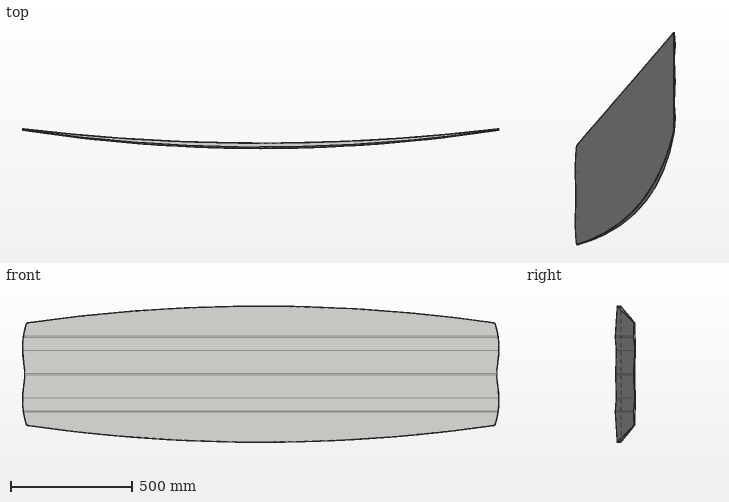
import cadquery as cq

LENGTH = 1968.51
DEPTH = 83.23
WIDTH = 563.69

TIP_LOBE_Z = 105.0
NOTCH_DEPTH = 9.0
CORNER_X = 967.0
CORNER_Z = 212.0
CORNER_RADIUS = 10.0

RIDGE_Z = 154.0
VALLEY_Z = 98.0
CHANNEL_DEPTH = 4.3
RAIL_SETBACK = 7.5
RIDGE_FLAT = 6.0

MIDDLE_THICKNESS = 24.0
TIP_THICKNESS = 7.0
BACK_BEVEL = 2.0

half_length = LENGTH / 2
half_width = WIDTH / 2


def arc_radius(half_chord, rise):
    """Radius of an arc from its half chord and its rise."""
    return (half_chord**2 + rise**2) / (2 * rise)


front_radius = arc_radius(half_length, DEPTH - TIP_THICKNESS)
back_radius = arc_radius(half_length - BACK_BEVEL, DEPTH - MIDDLE_THICKNESS)


def outline_prism():
    """Bowed rails and twin-lobed ends, extruded through the depth."""
    notch_x = half_length - NOTCH_DEPTH
    blend_x = half_length - NOTCH_DEPTH / 2
    blend_z = TIP_LOBE_Z / 2

    prism = (
        cq.Workplane("XZ")
        .moveTo(-CORNER_X, CORNER_Z)
        .threePointArc((0, half_width), (CORNER_X, CORNER_Z))
        .threePointArc((half_length, TIP_LOBE_Z), (blend_x, blend_z))
        .threePointArc((notch_x, 0), (blend_x, -blend_z))
        .threePointArc((half_length, -TIP_LOBE_Z), (CORNER_X, -CORNER_Z))
        .threePointArc((0, -half_width), (-CORNER_X, -CORNER_Z))
        .threePointArc((-half_length, -TIP_LOBE_Z), (-blend_x, -blend_z))
        .threePointArc((-notch_x, 0), (-blend_x, blend_z))
        .threePointArc((-half_length, TIP_LOBE_Z), (-CORNER_X, CORNER_Z))
        .close()
        .extrude(-2 * DEPTH)
    )
    for x in (-CORNER_X, CORNER_X):
        for z in (-CORNER_Z, CORNER_Z):
            corner = cq.selectors.NearestToPointSelector((x, DEPTH, z))
            prism = prism.edges("|Y").edges(corner).fillet(CORNER_RADIUS)
    return prism


def front_body():
    """Ridged front profile turned about the axis of the front arc."""
    half_flat = RIDGE_FLAT / 2
    upper = [
        (0, half_flat),
        (CHANNEL_DEPTH, VALLEY_Z),
        (0, RIDGE_Z - half_flat),
        (0, RIDGE_Z + half_flat),
        (RAIL_SETBACK, half_width),
    ]
    lower = [(y, -z) for y, z in reversed(upper)]
    axis_ends = [(front_radius, half_width), (front_radius, -half_width)]
    return (
        cq.Workplane("YZ")
        .polyline(lower + upper + axis_ends)
        .close()
        .revolve(360, (front_radius, 0, 0), (front_radius, 1, 0))
    )


def back_cutter():
    """Cylinder that leaves the smooth hollow back."""
    return (
        cq.Workplane("XY")
        .center(0, MIDDLE_THICKNESS + back_radius)
        .circle(back_radius)
        .extrude(half_width, both=True)
    )


def bevel_back(body):
    """Bevel the whole outer edge of the back face."""
    back_face = cq.selectors.NearestToPointSelector((0, DEPTH, 0))
    return body.faces(back_face).edges().chamfer(BACK_BEVEL)


board = outline_prism().intersect(front_body()).cut(back_cutter())
result = bevel_back(board)